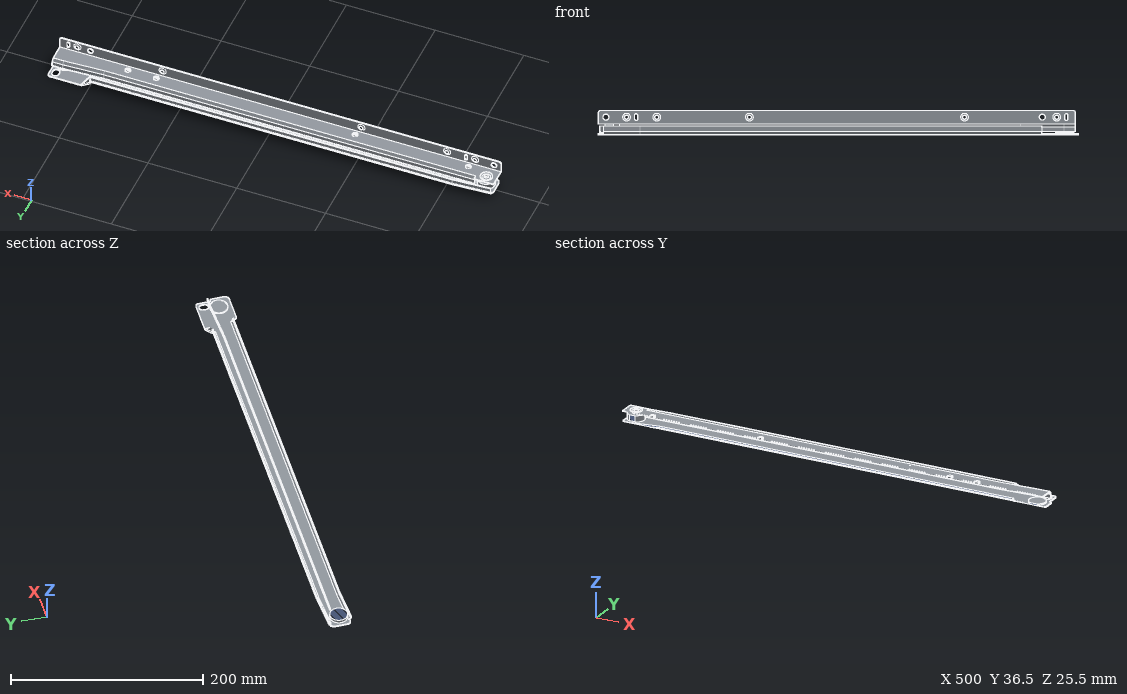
import cadquery as cq
import math

sheet = 1.2
slide_length = 500.0
slide_height = 25.5
slide_width = 36.5

rail_start = 1.5
lower_flange_start = 5.5
tongue_corner = 4.0
flange_top = 9.5
kink_height = 3.75
lower_flange_y = 4.5
upper_flange_y = 30.5
base_low_y = 6.5
base_high_y = 28.0
entry_end = 43.5
entry_shift = 2.5
upper_flange_end = 451.5
lower_flange_end = 462.0

foot_start = 466.5
end_corner = 5.0
lip_top = 20.0
lip_corner = 2.0
tab_start = 458.5
tab_corner = 3.0
tab_slot_x = 490.5
tab_slot_y = 29.0
tab_slot_width = 7.5
tab_slot_height = 10.0
boss_x = 486.0
boss_y = 14.0
boss_radius = 9.5
boss_top = 2.5

drawer_length = 497.0
wall_y = 1.5
wall_corner = 2.5
web_top = 12.5
jog_start_y = 18.5
jog_width = 3.0
jog_drop = 3.0
hanging_bottom = 3.5
bend_start = 22.0
swing_start = 440.0
swing_end = 485.0
swing_shift = 2.25
web_end_y = 23.0

roller_x = 11.5
roller_y = 14.5
roller_radius = 9.5
roller_bottom = 2.5
roller_top = 9.5
axle_radius = 4.5
rivet_radius = 6.5
rivet_recess = 0.5
rivet_hole_radius = 2.25
rivet_hole_depth = 2.5

wall_hole_z = 18.5
plain_hole_xs = [8.0, 462.5]
plain_hole_diameter = 6.0
screw_hole_xs = [29.5, 61.0, 157.5, 381.5, 477.5]
screw_hole_diameter = 4.0
screw_head_diameter = 8.0
wall_slot_xs = [39.5, 487.5]
wall_slot_width = 3.0
wall_slot_height = 7.0
web_hole_xs = [34.5, 162.0, 386.0, 418.0]
web_hole_y = 8.0
web_hole_diameter = 6.0


def yz_loft(section, x_from, shift_from, x_to, shift_to):
    """Solid between two copies of a closed YZ section, each moved along Y."""
    def wire(x, shift):
        return cq.Wire.makePolygon([cq.Vector(x, y + shift, z) for y, z in section], close=True)

    return cq.Workplane(cq.Solid.makeLoft([wire(x_from, shift_from), wire(x_to, shift_to)], True))


def box(x, y, z):
    """Box given by its (low, high) limits along each axis."""
    size = [high - low for low, high in (x, y, z)]
    return cq.Workplane().box(*size, centered=False).translate((x[0], y[0], z[0]))


def channel_section():
    """Shallow C: flat base, sloped corners and upright flanges."""
    outside = [
        (lower_flange_y, flange_top),
        (lower_flange_y, kink_height),
        (base_low_y, 0),
        (base_high_y, 0),
        (upper_flange_y, kink_height),
        (upper_flange_y, flange_top),
    ]
    inside = [
        (upper_flange_y - sheet, flange_top),
        (upper_flange_y - sheet, kink_height),
        (base_high_y - sheet, sheet),
        (base_low_y + sheet, sheet),
        (lower_flange_y + sheet, kink_height),
        (lower_flange_y + sheet, flange_top),
    ]
    return outside + inside


def make_end_plate():
    """Flat rear end with a foot towards -Y and a screw tab towards +Y."""
    plate = (
        cq.Workplane()
        .moveTo(upper_flange_end, base_low_y)
        .lineTo(lower_flange_end, base_low_y)
        .lineTo(foot_start, 0)
        .lineTo(slide_length - end_corner, 0)
        .radiusArc((slide_length, end_corner), -end_corner)
        .lineTo(slide_length, lip_top - lip_corner)
        .radiusArc((slide_length - lip_corner, lip_top), -lip_corner)
        .lineTo(drawer_length, lip_top)
        .lineTo(drawer_length, slide_width - tab_corner)
        .radiusArc((drawer_length - tab_corner, slide_width), -tab_corner)
        .lineTo(tab_start, slide_width)
        .lineTo(upper_flange_end, upper_flange_y)
        .close()
        .extrude(sheet)
    )
    slot = (
        cq.Workplane()
        .center(tab_slot_x, tab_slot_y)
        .slot2D(tab_slot_height, tab_slot_width, 90)
        .extrude(sheet)
    )
    boss = cq.Workplane().center(boss_x, boss_y).circle(boss_radius).extrude(boss_top)
    return plate.cut(slot).union(boss)


def make_tab_rib():
    """Upper flange carried on along the slanted tab edge, running out to the plate."""
    run = tab_start - upper_flange_end
    rise = slide_width - upper_flange_y
    edge = cq.Plane(origin=(upper_flange_end, upper_flange_y, 0), xDir=(run, rise, 0), normal=(rise, -run, 0))
    outline = [(0, 0), (math.hypot(run, rise), 0), (math.hypot(run, rise), sheet), (0, flange_top)]
    return cq.Workplane(edge).polyline(outline).close().extrude(sheet)


def make_cabinet_rail():
    section = channel_section()
    entry = yz_loft(section, rail_start, -entry_shift, entry_end, 0)
    track = yz_loft(section, entry_end, 0, lower_flange_end, 0)
    middle_y = (base_low_y + base_high_y) / 2
    flange_end_cut = box(
        (upper_flange_end, lower_flange_end), (middle_y, upper_flange_y), (0, flange_top)
    )
    base_range = (base_low_y - entry_shift, base_high_y - entry_shift)
    flange_start_cut = box((0, lower_flange_start), (0, base_range[1]), (0, flange_top))
    tongue = box((0, lower_flange_start), base_range, (0, sheet)).edges("|Z and <X").fillet(tongue_corner)
    channel = entry.cut(flange_start_cut).union(tongue).union(track.cut(flange_end_cut))
    return channel.union(make_end_plate()).union(make_tab_rib())


def make_wall():
    """Upright wall that carries the drawer, with its holes and slots."""
    web_bottom = web_top - sheet
    wall = box((0, drawer_length), (wall_y, wall_y + sheet), (web_bottom, slide_height))
    wall = wall.edges("|Y and >Z").fillet(wall_corner)
    sketch_plane = cq.Plane(origin=(0, wall_y, wall_hole_z), xDir=(1, 0, 0), normal=(0, -1, 0))
    plain_holes = (
        cq.Workplane(sketch_plane)
        .pushPoints([(x, 0) for x in plain_hole_xs])
        .circle(plain_hole_diameter / 2)
        .extrude(-sheet)
    )
    slots = (
        cq.Workplane(sketch_plane)
        .pushPoints([(x, 0) for x in wall_slot_xs])
        .slot2D(wall_slot_height, wall_slot_width, 90)
        .extrude(-sheet)
    )
    wall = wall.cut(plain_holes).cut(slots)
    for x in screw_hole_xs:
        countersink = cq.Solid.makeCone(
            screw_head_diameter / 2,
            screw_hole_diameter / 2,
            sheet,
            cq.Vector(x, wall_y, wall_hole_z),
            cq.Vector(0, 1, 0),
        )
        wall = wall.cut(cq.Workplane(countersink))
    return wall


def make_web():
    """Flat web with its screw holes and its wide end over the roller."""
    z_range = (web_top - sheet, web_top)
    web = box((0, drawer_length), (wall_y, jog_start_y), z_range)
    web = web.union(box((0, bend_start), (wall_y, web_end_y), z_range))
    holes = (
        cq.Workplane(origin=(0, 0, web_top))
        .pushPoints([(x, web_hole_y) for x in web_hole_xs])
        .circle(web_hole_diameter / 2)
        .extrude(-sheet)
    )
    return web.cut(holes)


def make_hanging_flange():
    """Sloped edge of the web and the flange that hangs from it."""
    outer_y = jog_start_y + jog_width
    web_bottom = web_top - sheet
    edge_y = jog_start_y - swing_shift - sheet
    section = [
        (edge_y, web_top),
        (jog_start_y, web_top),
        (outer_y, web_top - jog_drop),
        (outer_y, hanging_bottom),
        (outer_y - sheet, hanging_bottom),
        (outer_y - sheet, web_bottom - jog_drop),
        (jog_start_y - sheet, web_bottom),
        (edge_y, web_bottom),
    ]
    straight = yz_loft(section, bend_start, 0, swing_start, 0)
    swing = yz_loft(section, swing_start, 0, swing_end, swing_shift)
    tail = yz_loft(section, swing_end, swing_shift, drawer_length, swing_shift)
    return straight.union(swing).union(tail)


def cylinder(radius, z_from, z_to):
    """Cylinder on the roller axis."""
    return cq.Workplane(origin=(roller_x, roller_y, z_from)).circle(radius).extrude(z_to - z_from)


def make_drawer_rail():
    rail = make_wall().union(make_web()).union(make_hanging_flange())
    rail = rail.union(cylinder(roller_radius, roller_bottom, roller_top))
    rail = rail.union(cylinder(axle_radius, roller_top, web_top))
    rivet_face = web_top - rivet_recess
    rail = rail.cut(cylinder(rivet_radius, rivet_face, web_top))
    return rail.cut(cylinder(rivet_hole_radius, rivet_face - rivet_hole_depth, rivet_face))


cabinet_rail = make_cabinet_rail()
drawer_rail = make_drawer_rail()
result = cq.Compound.makeCompound([cabinet_rail.solids().val(), drawer_rail.solids().val()])